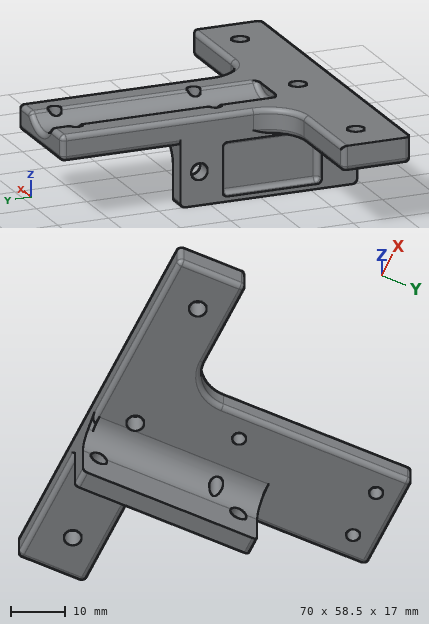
import cadquery as cq
import math

bar_length = 70.0
bar_depth = 13.5
plate_thickness = 5.0
stem_width = 20.0
total_depth = 58.5
inner_corner_radius = 7.0
edge_radius = 1.0

total_height = 17.0
rib_thickness = 3.5
rib_depth = 35.0
right_flare_radius = 5.0
left_flare_radius = edge_radius

pocket_length = 19.6
pocket_height = 10.5
pocket_depth = rib_thickness / 2
pocket_y = 7.0
pocket_top = -5.5

groove_radius = 6.2
groove_depth = 2.3
groove_lip_radius = 1.2

large_hole_diameter = 3.2
small_hole_diameter = 2.5
bar_hole_spacing = 27.0
bar_hole_y = 7.5
stem_hole_offset = 5.0
stem_hole_end_distance = 5.0
stem_hole_pitch = 27.5
rib_hole_y = 3.2
rib_hole_pitch = 28.0
rib_hole_z = -10.5

half_bar = bar_length / 2
half_stem = stem_width / 2
plate_bottom = -plate_thickness
rib_left = -half_stem
rib_right = rib_left + rib_thickness
clearance = 0.7


def make_groove_cutter():
    """Round groove whose top edges flare outward and whose closed end is rounded at the floor."""
    axis_z = groove_radius - groove_depth
    lip_centre_z = -groove_lip_radius
    centre_distance = groove_radius + groove_lip_radius
    lip_centre_x = math.sqrt(centre_distance**2 - (axis_z - lip_centre_z) ** 2)
    lip_angle = math.asin(lip_centre_x / centre_distance)

    tangent_x = groove_radius * math.sin(lip_angle)
    tangent_z = axis_z - groove_radius * math.cos(lip_angle)
    lip_mid_x = lip_centre_x - groove_lip_radius * math.sin(lip_angle / 2)
    lip_mid_z = lip_centre_z + groove_lip_radius * math.cos(lip_angle / 2)
    side_x = half_stem
    roof_z = groove_radius

    cutter = (
        cq.Workplane("XZ", origin=(0, bar_depth, 0))
        .moveTo(-side_x, 0)
        .lineTo(-lip_centre_x, 0)
        .threePointArc((-lip_mid_x, lip_mid_z), (-tangent_x, tangent_z))
        .threePointArc((0, -groove_depth), (tangent_x, tangent_z))
        .threePointArc((lip_mid_x, lip_mid_z), (lip_centre_x, 0))
        .lineTo(side_x, 0)
        .lineTo(side_x, roof_z)
        .lineTo(-side_x, roof_z)
        .close()
        .extrude(-(total_depth - bar_depth + clearance))
    )
    end_edges = cutter.faces("<Y").edges("not (|Z or >Z)")
    return end_edges.fillet(edge_radius)


def make_plate():
    """T-shaped plate with concave inner corners, the stem groove and rounded edges."""
    plate = (
        cq.Workplane("XY")
        .moveTo(-half_bar, 0)
        .lineTo(half_bar, 0)
        .lineTo(half_bar, bar_depth)
        .lineTo(half_stem, bar_depth)
        .lineTo(half_stem, total_depth)
        .lineTo(-half_stem, total_depth)
        .lineTo(-half_stem, bar_depth)
        .lineTo(-half_bar, bar_depth)
        .close()
        .extrude(plate_bottom)
    )
    plate = plate.edges("|Z").edges("not (<X or >X or >Y)").fillet(inner_corner_radius)
    plate = plate.cut(make_groove_cutter())

    top_edges = plate.faces(">Z").edges()
    away_from_front_and_ends = cq.selectors.BoxSelector(
        (-half_bar + clearance, clearance, -clearance),
        (half_bar - clearance, total_depth + clearance, clearance),
    )
    groove_region = cq.selectors.BoxSelector(
        (-half_stem + clearance, clearance, -clearance),
        (half_stem - clearance, total_depth - clearance, clearance),
    )
    rounded_edges = (
        top_edges.edges(away_from_front_and_ends - groove_region)
        .add(plate.faces(">Y").edges())
        .add(plate.faces("<Z").edges())
        .add(plate.edges("|Z").edges("<X or >X"))
    )
    return rounded_edges.fillet(edge_radius)


def make_flare(rib_face_x, direction, radius, length):
    """Concave fillet between a rib face and the plate; direction is the outward X sign of the face."""
    centre_x = rib_face_x + direction * radius
    centre_z = plate_bottom - radius
    edge_top_z = plate_bottom + edge_radius
    arc_start = (rib_face_x, centre_z)

    def point_on_arc(angle):
        return (centre_x - direction * radius * math.sin(angle), centre_z + radius * math.cos(angle))

    leave_angle = math.acos(radius / (radius + edge_radius))
    front = (
        cq.Workplane("XZ")
        .moveTo(rib_face_x, edge_top_z)
        .lineTo(*arc_start)
        .threePointArc(point_on_arc((math.pi / 2 + leave_angle) / 2), point_on_arc(leave_angle))
        .lineTo(centre_x, edge_top_z)
        .close()
        .extrude(-edge_radius)
    )
    main = (
        cq.Workplane("XZ", origin=(0, edge_radius, 0))
        .moveTo(rib_face_x, plate_bottom)
        .lineTo(*arc_start)
        .threePointArc(point_on_arc(math.pi / 4), point_on_arc(0))
        .close()
        .extrude(-(length - edge_radius))
    )
    return front.union(main)


def make_rib():
    """Upright rib with rounded lower corners, reaching up to the middle of the plate thickness."""
    rib_top = plate_bottom / 2
    return (
        cq.Workplane("XY")
        .box(rib_thickness, rib_depth, total_height + rib_top, centered=False)
        .translate((rib_left, 0, -total_height))
        .edges("|X and <Z")
        .fillet(edge_radius)
    )


def make_left_flare():
    """Flare under the bar, running out where the rounded inner corner of the plate curves across it."""
    corner_run_out = (
        cq.Workplane("XY")
        .center(-half_stem - inner_corner_radius, bar_depth + inner_corner_radius)
        .circle(inner_corner_radius + edge_radius)
        .extrude(-total_height)
    )
    return make_flare(rib_left, -1, left_flare_radius, bar_depth + inner_corner_radius / 2).cut(corner_run_out)


def make_pocket_cutter():
    """Rectangular pocket with rounded corners and floor edges, open on the left face of the rib."""
    opening_length = left_flare_radius + clearance
    return (
        cq.Workplane("XY")
        .box(pocket_depth + opening_length, pocket_length, pocket_height, centered=False)
        .translate((rib_left - opening_length, pocket_y, pocket_top - pocket_height))
        .edges("|X or >X")
        .fillet(edge_radius)
    )


def make_holes(plane, points, diameter):
    """Holes through the whole part along the normal of the plane."""
    return cq.Workplane(plane).pushPoints(points).circle(diameter / 2).extrude(bar_length, both=True)


bar_hole_points = [(x, bar_hole_y) for x in (-bar_hole_spacing, 0, bar_hole_spacing)]
last_stem_hole_y = total_depth - stem_hole_end_distance
stem_hole_points = [
    (x, y)
    for x in (-stem_hole_offset, stem_hole_offset)
    for y in (last_stem_hole_y - stem_hole_pitch, last_stem_hole_y)
]
rib_hole_points = [(y, rib_hole_z) for y in (rib_hole_y, rib_hole_y + rib_hole_pitch)]

result = (
    make_plate()
    .union(make_rib())
    .union(make_left_flare())
    .union(make_flare(rib_right, 1, right_flare_radius, rib_depth))
    .cut(make_pocket_cutter())
    .cut(make_holes("XY", bar_hole_points, large_hole_diameter))
    .cut(make_holes("XY", stem_hole_points, small_hole_diameter))
    .cut(make_holes("YZ", rib_hole_points, large_hole_diameter))
)